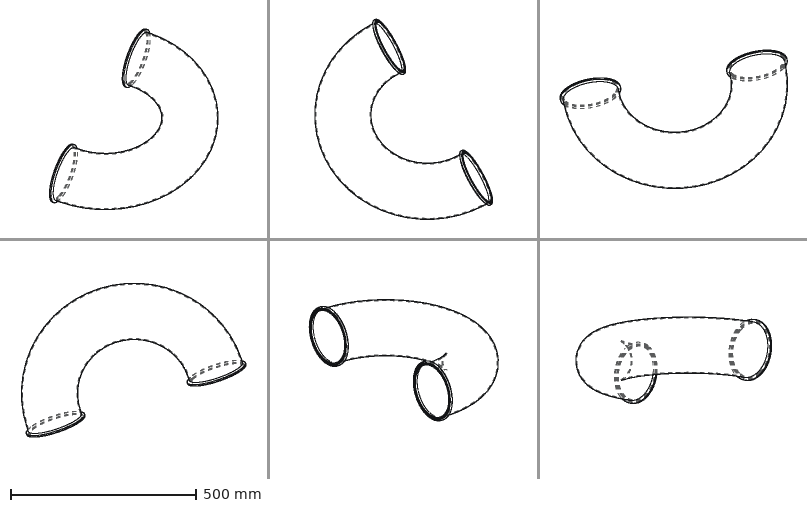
import cadquery as cq
import math

tube_diameter = 152.0
bore_diameter = 146.5
tube_radius = tube_diameter / 2
bore_radius = bore_diameter / 2

flange_diameter = 166.5
flange_radius = flange_diameter / 2
flange_rim_length = 5.0
flange_taper_angle = 25.0
rim_rounding = 1.0

groove_circle_radius = 78.0
groove_mouth_width = 3.0
groove_floor_width = 2.0
groove_depth = 1.0

overall_length_x = 324.0
overall_width_y = 624.0
bend_radius = (overall_width_y - flange_diameter) / 2
straight_length = overall_length_x - bend_radius - tube_radius
bend_angle = 180


def make_ferrule(center_y):
    """Straight tube end along +X with a clamp flange and gasket groove on its face at X = 0."""
    taper_length = (flange_radius - tube_radius) * math.tan(math.radians(flange_taper_angle))
    taper_end = flange_rim_length + taper_length
    arc_inset = rim_rounding * (1 - math.sqrt(0.5))

    section = (
        cq.Workplane("XY")
        .moveTo(0, bore_radius)
        .lineTo(0, groove_circle_radius - groove_mouth_width / 2)
        .lineTo(groove_depth, groove_circle_radius - groove_floor_width / 2)
        .lineTo(groove_depth, groove_circle_radius + groove_floor_width / 2)
        .lineTo(0, groove_circle_radius + groove_mouth_width / 2)
        .lineTo(0, flange_radius - rim_rounding)
        .threePointArc((arc_inset, flange_radius - arc_inset), (rim_rounding, flange_radius))
        .lineTo(flange_rim_length, flange_radius)
        .lineTo(taper_end, tube_radius)
        .lineTo(straight_length, tube_radius)
        .lineTo(straight_length, bore_radius)
        .close()
    )
    return section.revolve(360, (0, 0, 0), (1, 0, 0)).translate((0, center_y, 0))


def make_bend():
    """Hollow half torus joining the two straight ends, with its axis along Z."""
    return (
        cq.Workplane("YZ", origin=(straight_length, -bend_radius, 0))
        .circle(tube_radius)
        .circle(bore_radius)
        .revolve(bend_angle, (bend_radius, 0, 0), (bend_radius, 1, 0))
    )


result = make_bend()
for end_y in (-bend_radius, bend_radius):
    result = result.union(make_ferrule(end_y))